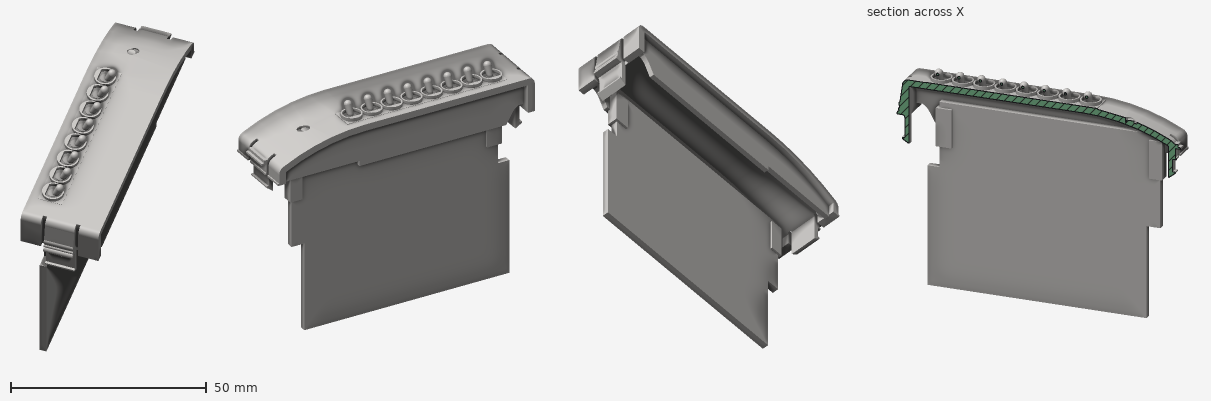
import cadquery as cq
import math


COVER_WIDTH = 21.0
COVER_END_Y = 37.6
WALL = 1.95
TOP_THICKNESS = 1.9
ARC_START_Y = 12.1
ARC_RADIUS = 54.8
FRONT_WALL_BOTTOM = -9.9
REAR_WALL_BOTTOM = -10.9
FRONT_EDGE_RADIUS = 1.7
REAR_EDGE_RADIUS = 2.2
REAR_LIP_DEPTH = 0.3
REAR_LIP_HEIGHT = 0.55
INNER_END_Y = COVER_END_Y - WALL

CLIP_WIDTH = 7.9
SLOT_WIDTH = 1.1
FRONT_SLOT_DEPTH = 1.8
REAR_SLOT_DEPTH = 2.35
GRIP_REACH = 39.1
UPPER_RIDGE = ((-38.3, -6.3), (-38.65, -7.05), (-38.4, -7.6))
MIDDLE_RIDGE = ((-38.4, -8.0), (-38.7, -8.3), (-38.5, -8.85))
LOWER_RIDGE = ((-38.95, -9.15), (-GRIP_REACH, -9.55))
REAR_LEDGE_BOTTOM = -7.8
REAR_LEDGE_TOP = -7.3
REAR_STEP_Y = 38.3
REAR_STEP_TOP = -6.5
REAR_STEP_ROOT_Y = 37.2
HOOK_THICKNESS = 1.25
HOOK_BARB = 0.7
FRONT_HOOK_ZS = (-16.0, -16.5, -17.7)
REAR_HOOK_ZS = (-14.2, -14.6, -16.1)
HOOK_ROOT_WIDTH = 0.3
HOOK_ROOT_HEIGHT = 0.7

PANEL_THICKNESS = 1.3
PANEL_OUTER_XS = (-8.45, 7.6)
PANEL_REAR_BOTTOM = -11.5
PANEL_FRONT_BOTTOM = -13.0
PANEL_STEP_Y = 12.8
NOTCH_TOP = -8.2
NOTCH_ARC_START = (-34.0, NOTCH_TOP)
NOTCH_ARC_MID = (-33.2, -8.8)
NOTCH_ARC_END = (-32.3, -9.7)
NOTCH_FOOT_Y = -30.4

BOARD_THICKNESS = 1.8
BOARD_LEFT_X = -7.3
BOARD_TOP = -6.25
BOARD_BOTTOM = -57.2
BOARD_REAR_UPPER_Y = 32.15
BOARD_REAR_LOWER_Y = 28.4
BOARD_REAR_STEP_Z = -31.85
BOARD_FRONT_UPPER_Y = -28.6
BOARD_FRONT_LOWER_Y = -32.0
BOARD_FRONT_STEP_Z = -24.25
BLOCK_WIDTH = 3.05
BLOCK_LEFT_X = -7.9
BLOCK_BOTTOM = -18.4
BLOCK_TOP = -7.8
BLOCK_SPANS_Y = ((29.25, 32.85), (-29.4, -25.1))

SWITCH_COUNT = 8
SWITCH_PITCH = 5.9
SWITCH_X = -5.1
SWITCH_ROW_Y = -7.35
PLATE_WIDTH = 6.5
PLATE_LENGTH = 47.0
PLATE_X = -4.9
PLATE_TOP = 0.1
PLATE_BOTTOM = -0.4
RING_RADIUS = 2.8
RING_HOLE_RADIUS = 2.4
RING_FLAT_OFFSET = 1.65
RING_TOP = 1.0
BOSS_RADIUS = 1.3
BOSS_TOP = 0.2
LEVER_TILT = 26.0
LEVER_PIVOT_Z = -1.2
LEVER_LENGTH = 4.3
LEVER_BASE_RADIUS = 0.6
LEVER_TIP_RADIUS = 1.1

LAMP_X = -2.1
LAMP_Y = 25.1
LAMP_RADIUS = 1.1
RECESS_SHIFT_X = 0.6
RECESS_SHIFT_Y = 0.85
RECESS_RADIUS = 1.2
RECESS_DEPTH = 0.9
LAMP_SINK = 0.3


def arc_drop(y, radius):
    """Depth of the sloping cover arc below its flat stretch at a given y."""
    return radius - math.sqrt(radius**2 - (y - ARC_START_Y) ** 2)


def box(x_min, x_max, y_min, y_max, z_min, z_max):
    size = (x_max - x_min, y_max - y_min, z_max - z_min)
    return cq.Workplane("XY", origin=(x_min, y_min, z_min)).box(*size, centered=False)


def arched_outline(end_y, top_z, radius):
    """Start a YZ outline at the rear end, over the arc and flat to the front end."""
    mid_y = (end_y + ARC_START_Y) / 2
    return (
        cq.Workplane("YZ")
        .moveTo(end_y, top_z - arc_drop(end_y, radius))
        .threePointArc((mid_y, top_z - arc_drop(mid_y, radius)), (ARC_START_Y, top_z))
        .lineTo(-end_y, top_z)
    )


def across_clip(outline):
    """Extrude a closed YZ outline symmetrically over the clip width."""
    return outline.close().extrude(CLIP_WIDTH / 2, both=True)


def make_cover():
    outer = (
        arched_outline(COVER_END_Y, 0, ARC_RADIUS)
        .lineTo(-COVER_END_Y, FRONT_WALL_BOTTOM)
        .lineTo(0, FRONT_WALL_BOTTOM)
        .lineTo(0, REAR_WALL_BOTTOM)
        .lineTo(COVER_END_Y, REAR_WALL_BOTTOM)
        .close()
        .extrude(COVER_WIDTH / 2, both=True)
    )
    rear_corner_z = -arc_drop(COVER_END_Y, ARC_RADIUS)
    outer = outer.edges(cq.NearestToPointSelector((0, -COVER_END_Y, 0))).fillet(FRONT_EDGE_RADIUS)
    outer = outer.edges(cq.NearestToPointSelector((0, COVER_END_Y, rear_corner_z))).fillet(REAR_EDGE_RADIUS)
    inner = (
        arched_outline(INNER_END_Y, -TOP_THICKNESS, ARC_RADIUS - TOP_THICKNESS)
        .lineTo(-INNER_END_Y, REAR_WALL_BOTTOM)
        .lineTo(INNER_END_Y, REAR_WALL_BOTTOM)
        .close()
        .extrude(COVER_WIDTH / 2, both=True)
    )
    lip = box(
        -COVER_WIDTH / 2, COVER_WIDTH / 2,
        INNER_END_Y, COVER_END_Y + REAR_LIP_DEPTH,
        REAR_WALL_BOTTOM, REAR_WALL_BOTTOM + REAR_LIP_HEIGHT,
    )
    return outer.cut(inner).union(lip)


def cut_clip_slots(cover):
    rear_reach = COVER_END_Y + REAR_LIP_DEPTH
    for left_x in (-CLIP_WIDTH / 2 - SLOT_WIDTH, CLIP_WIDTH / 2):
        right_x = left_x + SLOT_WIDTH
        front_y = -COVER_END_Y + FRONT_SLOT_DEPTH
        rear_y = COVER_END_Y - REAR_SLOT_DEPTH
        cover = cover.cut(box(left_x, right_x, -COVER_END_Y, front_y, REAR_WALL_BOTTOM, 0))
        cover = cover.cut(box(left_x, right_x, rear_y, rear_reach, REAR_WALL_BOTTOM, 0))
    return cover


def make_front_grip():
    """Sloping finger pad ending in three rounded ridges."""
    return across_clip(
        cq.Workplane("YZ")
        .moveTo(-INNER_END_Y, FRONT_WALL_BOTTOM)
        .lineTo(-INNER_END_Y, -FRONT_EDGE_RADIUS)
        .lineTo(-COVER_END_Y, -FRONT_EDGE_RADIUS)
        .lineTo(*UPPER_RIDGE[0])
        .threePointArc(*UPPER_RIDGE[1:])
        .lineTo(*MIDDLE_RIDGE[0])
        .threePointArc(*MIDDLE_RIDGE[1:])
        .threePointArc(*LOWER_RIDGE)
        .lineTo(-GRIP_REACH, FRONT_WALL_BOTTOM)
    )


def make_rear_grip():
    """Stepped finger ledge near the top of the rear wall."""
    return across_clip(
        cq.Workplane("YZ")
        .moveTo(INNER_END_Y, REAR_LEDGE_BOTTOM)
        .lineTo(GRIP_REACH, REAR_LEDGE_BOTTOM)
        .lineTo(GRIP_REACH, REAR_LEDGE_TOP)
        .lineTo(REAR_STEP_Y, REAR_LEDGE_TOP)
        .lineTo(REAR_STEP_Y, REAR_STEP_TOP)
        .lineTo(REAR_STEP_ROOT_Y, REAR_STEP_TOP)
        .lineTo(INNER_END_Y, REAR_LEDGE_TOP)
    )


def make_hook(direction, wall_bottom, barb_top, barb_bottom, tip_z):
    """Snap hook hanging below an end wall; direction is +1 at the rear, -1 in front."""
    outer_y = INNER_END_Y + HOOK_THICKNESS
    points = (
        (INNER_END_Y, wall_bottom),
        (outer_y, wall_bottom),
        (outer_y, barb_top),
        (outer_y + HOOK_BARB, barb_top),
        (outer_y + HOOK_BARB, barb_bottom),
        (INNER_END_Y, tip_z),
    )
    return across_clip(cq.Workplane("YZ").polyline([(direction * y, z) for y, z in points]))


def make_front_hook_root():
    """Small triangular gusset between the front wall and its hook."""
    outer_y = -INNER_END_Y - HOOK_THICKNESS
    return across_clip(
        cq.Workplane("YZ")
        .moveTo(outer_y, FRONT_WALL_BOTTOM)
        .lineTo(outer_y - HOOK_ROOT_WIDTH, FRONT_WALL_BOTTOM)
        .lineTo(outer_y, FRONT_WALL_BOTTOM - HOOK_ROOT_HEIGHT)
    )


def make_panel(outer_x):
    """Side panel filling the arch, with a rounded notch at its front lower corner."""
    return (
        arched_outline(INNER_END_Y, -TOP_THICKNESS, ARC_RADIUS - TOP_THICKNESS)
        .lineTo(-INNER_END_Y, NOTCH_TOP)
        .lineTo(*NOTCH_ARC_START)
        .threePointArc(NOTCH_ARC_MID, NOTCH_ARC_END)
        .lineTo(NOTCH_FOOT_Y, PANEL_FRONT_BOTTOM)
        .lineTo(PANEL_STEP_Y, PANEL_FRONT_BOTTOM)
        .lineTo(PANEL_STEP_Y, PANEL_REAR_BOTTOM)
        .lineTo(INNER_END_Y, PANEL_REAR_BOTTOM)
        .close()
        .extrude(PANEL_THICKNESS)
        .translate((outer_x, 0, 0))
    )


def make_board():
    points = (
        (BOARD_REAR_UPPER_Y, BOARD_TOP),
        (BOARD_REAR_UPPER_Y, BOARD_REAR_STEP_Z),
        (BOARD_REAR_LOWER_Y, BOARD_REAR_STEP_Z),
        (BOARD_REAR_LOWER_Y, BOARD_BOTTOM),
        (BOARD_FRONT_LOWER_Y, BOARD_BOTTOM),
        (BOARD_FRONT_LOWER_Y, BOARD_FRONT_STEP_Z),
        (BOARD_FRONT_UPPER_Y, BOARD_FRONT_STEP_Z),
        (BOARD_FRONT_UPPER_Y, BOARD_TOP),
    )
    return cq.Workplane("YZ", origin=(BOARD_LEFT_X, 0, 0)).polyline(points).close().extrude(BOARD_THICKNESS)


def make_blocks():
    right_x = BLOCK_LEFT_X + BLOCK_WIDTH
    blocks = cq.Workplane("XY")
    for y_min, y_max in BLOCK_SPANS_Y:
        blocks = blocks.union(box(BLOCK_LEFT_X, right_x, y_min, y_max, BLOCK_BOTTOM, BLOCK_TOP))
    return blocks


def make_switch():
    """Ring with a D-shaped opening, a low boss and a tilted round-ended lever."""
    ring_height = RING_TOP - PLATE_BOTTOM
    ring = cq.Workplane("XY", origin=(0, 0, PLATE_BOTTOM)).circle(RING_RADIUS).extrude(ring_height)
    opening = (
        cq.Workplane("XY", origin=(0, 0, PLATE_TOP))
        .circle(RING_HOLE_RADIUS)
        .extrude(RING_TOP - PLATE_TOP)
        .cut(box(-RING_RADIUS, -RING_FLAT_OFFSET, -RING_RADIUS, RING_RADIUS, PLATE_TOP, RING_TOP))
    )
    boss_height = BOSS_TOP - PLATE_BOTTOM
    boss = cq.Workplane("XY", origin=(0, 0, PLATE_BOTTOM)).circle(BOSS_RADIUS).extrude(boss_height)
    dome_rise = LEVER_TIP_RADIUS * math.sin(math.radians(45))
    lever = (
        cq.Workplane("XZ")
        .lineTo(LEVER_BASE_RADIUS, 0)
        .lineTo(LEVER_TIP_RADIUS, LEVER_LENGTH)
        .threePointArc((dome_rise, LEVER_LENGTH + dome_rise), (0, LEVER_LENGTH + LEVER_TIP_RADIUS))
        .close()
        .revolve(360, (0, 0, 0), (0, 1, 0))
        .rotate((0, 0, 0), (0, 1, 0), LEVER_TILT)
        .translate((0, 0, LEVER_PIVOT_Z))
    )
    return ring.cut(opening).union(boss).union(lever)


def add_switches(body):
    plate = box(
        PLATE_X - PLATE_WIDTH / 2, PLATE_X + PLATE_WIDTH / 2,
        SWITCH_ROW_Y - PLATE_LENGTH / 2, SWITCH_ROW_Y + PLATE_LENGTH / 2,
        PLATE_BOTTOM, PLATE_TOP,
    )
    body = body.union(plate)
    switch = make_switch()
    for index in range(SWITCH_COUNT):
        y = SWITCH_ROW_Y + (index - (SWITCH_COUNT - 1) / 2) * SWITCH_PITCH
        body = body.union(switch.translate((SWITCH_X, y, 0)))
    return body


def add_lamp(body):
    """Oval recess in the sloping top holding a round lamp with a flat top, sunk below the surface."""
    shift = math.hypot(RECESS_SHIFT_X, RECESS_SHIFT_Y)
    angle = math.degrees(math.atan2(RECESS_SHIFT_Y, RECESS_SHIFT_X))
    surface_z = -arc_drop(LAMP_Y, ARC_RADIUS)
    floor_z = surface_z - RECESS_DEPTH
    recess = (
        cq.Workplane("XY", origin=(LAMP_X, LAMP_Y, floor_z))
        .center(RECESS_SHIFT_X / 2, RECESS_SHIFT_Y / 2)
        .slot2D(shift + 2 * RECESS_RADIUS, 2 * RECESS_RADIUS, angle)
        .extrude(-floor_z)
    )
    lamp = cq.Workplane("XY", origin=(LAMP_X, LAMP_Y, floor_z)).circle(LAMP_RADIUS)
    return body.cut(recess).union(lamp.extrude(RECESS_DEPTH - LAMP_SINK))


body = cut_clip_slots(make_cover())
body = body.union(make_front_grip()).union(make_rear_grip())
body = body.union(make_hook(-1, FRONT_WALL_BOTTOM, *FRONT_HOOK_ZS))
body = body.union(make_front_hook_root())
body = body.union(make_hook(1, REAR_WALL_BOTTOM, *REAR_HOOK_ZS))
for panel_x in PANEL_OUTER_XS:
    body = body.union(make_panel(panel_x))
body = body.union(make_board()).union(make_blocks())
body = add_lamp(body)
result = add_switches(body)